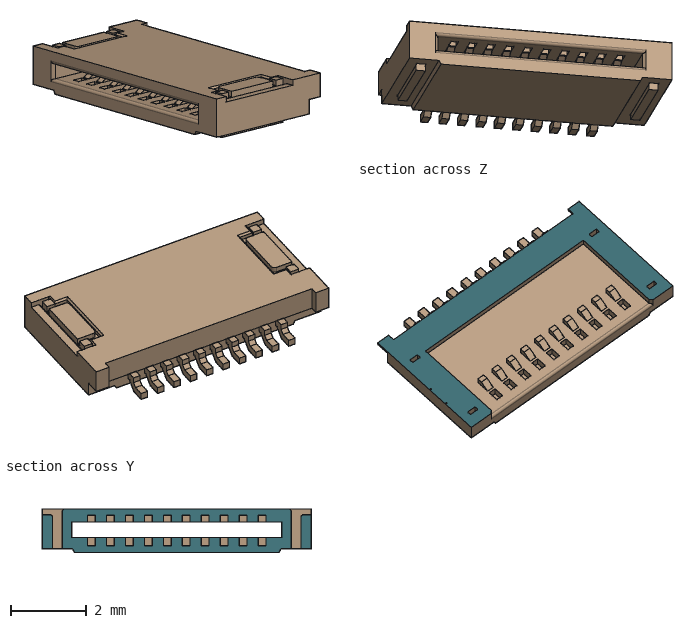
import cadquery as cq


width = 7.1
height = 1.2
body_bottom = 0.15
ear_length = 3.75
ear_width = 0.4
rear_wall = 3.55
lower_rear_wall = 3.35
overhang_bottom = 0.55

pad_bottom = 0.05
pad_half_width = 2.755
pad_taper = 0.06

cavity_half_width = 2.77
cavity_bottom = 0.45
cavity_top = 0.85
cavity_end = 2.7
mouth_round = 0.08
mouth_side_taper = 0.08

contact_count = 10
contact_row_length = 4.5
contact_pitch = contact_row_length / (contact_count - 1)
contact_width = 0.2
slot_start = 0.34
slot_bottom = 0.235
slot_top = 1.03
arm_start = 0.64
bump_start = 0.71
bump_slope_length = 0.25
bump_flat = 0.14
web_rear = 2.98
lower_bump_top = 0.595
upper_bump_bottom = 0.74

tail_tip = 4.05
tail_thickness = 0.2
tail_shoulder = 3.43
tail_bend = 3.65
tail_top = 0.455
bend_rise = 0.1

pocket_center = 1.55
ledge_drop = 0.15
pocket_bevel = 0.05
slit_length = 2.4
slit_outer_x = 3.27
slit_width = 0.25
pocket_length = 1.8
pocket_inner_x = 2.64
fitting_length = 2.2
post_length = 0.25
plate_length = 1.49
plate_inner_x = 2.7
plate_corner_radius = 0.1

slit_inner_x = slit_outer_x - slit_width
pocket_floor = height - ledge_drop


def block(x_range, y_range, z_range):
    """Box spanning the given pairs of coordinates."""
    (x0, x1), (y0, y1), (z0, z1) = x_range, y_range, z_range
    return cq.Workplane("XY").box(x1 - x0, y1 - y0, z1 - z0, centered=False).translate((x0, y0, z0))


def both_ends(shape):
    """The shape together with its mirror image across the YZ plane."""
    return shape.union(shape.mirror("YZ"))


def span(length):
    """Y range of the given length about the pocket centre."""
    return (pocket_center - length / 2, pocket_center + length / 2)


def make_housing():
    """Solid body with a roof overhanging the tails, two rear ears and the raised bottom pad."""
    half = width / 2
    body = block((-half, half), (0, lower_rear_wall), (body_bottom, height))
    roof = block((-half, half), (0, rear_wall), (overhang_bottom, height))
    ear = block((-half, ear_width - half), (0, ear_length), (overhang_bottom, height))
    pad_tip = pad_half_width - pad_taper
    pad = (
        cq.Workplane("XZ")
        .polyline([
            (-pad_half_width, body_bottom),
            (-pad_tip, pad_bottom),
            (pad_tip, pad_bottom),
            (pad_half_width, body_bottom),
        ])
        .close()
        .extrude(-lower_rear_wall)
    )
    return body.union(roof).union(both_ends(ear)).union(pad)


def make_cavity():
    """Cable space with rounded upper and lower lips and tapered sides at the mouth."""
    outer_half = cavity_half_width + mouth_side_taper
    lower_lip = cavity_bottom - mouth_round
    upper_lip = cavity_top + mouth_round
    flared = (
        cq.Workplane("YZ")
        .moveTo(0, lower_lip)
        .radiusArc((mouth_round, cavity_bottom), mouth_round)
        .lineTo(cavity_end, cavity_bottom)
        .lineTo(cavity_end, cavity_top)
        .lineTo(mouth_round, cavity_top)
        .radiusArc((0, upper_lip), mouth_round)
        .close()
        .extrude(outer_half, both=True)
    )
    plan = (
        cq.Workplane("XY")
        .polyline([
            (-outer_half, 0),
            (outer_half, 0),
            (cavity_half_width, mouth_side_taper),
            (cavity_half_width, cavity_end),
            (-cavity_half_width, cavity_end),
            (-cavity_half_width, mouth_side_taper),
        ])
        .close()
        .extrude(height)
    )
    return flared.intersect(plan)


def bevelled_recess(x_range, y_range, bevel_top):
    """Tapered block whose walls lean out at 45 degrees up to the bevel top."""
    (x0, x1), (y0, y1) = x_range, y_range
    return (
        cq.Workplane("XY", origin=((x0 + x1) / 2, (y0 + y1) / 2, bevel_top))
        .rect(x1 - x0 + 2 * pocket_bevel, y1 - y0 + 2 * pocket_bevel)
        .workplane(offset=-pocket_bevel)
        .rect(x1 - x0, y1 - y0)
        .loft(ruled=True)
    )


def make_pocket():
    """Stepped opening at the -X end: ledge, wide and narrow recesses, and the slit for the fitting."""
    slit_x = (-slit_outer_x, -slit_inner_x)
    wide_x = (-slit_outer_x, -pocket_inner_x)
    slit = block(slit_x, span(slit_length), (0, height))
    wide = block(wide_x, span(pocket_length), (pocket_floor, height))
    ledge = block((-width / 2, -slit_inner_x), span(slit_length), (pocket_floor, height))
    bevels = (
        bevelled_recess(slit_x, span(slit_length), height)
        .union(bevelled_recess(wide_x, span(pocket_length), height))
        .union(bevelled_recess(slit_x, span(slit_length), pocket_floor))
    )
    top_band = block((-width / 2, 0), span(slit_length), (height - pocket_bevel, height))
    ledge_band = block(
        (-width / 2, -slit_inner_x), span(slit_length), (pocket_floor - pocket_bevel, pocket_floor)
    )
    return slit.union(wide).union(ledge).union(bevels.intersect(top_band.union(ledge_band)))


def make_fitting():
    """Hold-down fitting at the -X end: upright web with two posts, and a flat plate between them."""
    slit_x = (-slit_outer_x, -slit_inner_x)
    y0, y1 = span(fitting_length)
    web = block(slit_x, (y0, y1), (0, pocket_floor))
    front_post = block(slit_x, (y0, y0 + post_length), (pocket_floor, height))
    rear_post = block(slit_x, (y1 - post_length, y1), (pocket_floor, height))
    plate = (
        block((-slit_outer_x, -plate_inner_x), span(plate_length), (pocket_floor, height))
        .edges("|Z and >X")
        .fillet(plate_corner_radius)
    )
    return web.union(front_post).union(rear_post).union(plate)


def make_contact():
    """Forked contact with one bump on each arm, ending in a bent solder tail."""
    bump_peak = bump_start + bump_slope_length
    bump_end = bump_peak + bump_flat
    return (
        cq.Workplane("YZ")
        .polyline([
            (arm_start, slot_bottom),
            (tail_shoulder, slot_bottom),
            (tail_shoulder + slot_bottom, 0),
            (tail_tip, 0),
            (tail_tip, tail_thickness),
            (tail_bend + bend_rise, tail_thickness),
            (tail_bend, tail_thickness + bend_rise),
            (tail_bend, tail_top),
            (tail_shoulder, tail_top),
            (tail_shoulder, overhang_bottom),
            (web_rear, overhang_bottom),
            (web_rear, slot_top),
            (arm_start, slot_top),
            (arm_start, cavity_top),
            (bump_start, cavity_top),
            (bump_peak, upper_bump_bottom),
            (bump_end, upper_bump_bottom),
            (bump_end, cavity_top),
            (cavity_end, cavity_top),
            (cavity_end, cavity_bottom),
            (bump_end, cavity_bottom),
            (bump_end, lower_bump_top),
            (bump_peak, lower_bump_top),
            (bump_start, cavity_bottom),
            (arm_start, cavity_bottom),
        ])
        .close()
        .extrude(contact_width / 2, both=True)
    )


contact_slot = block(
    (-contact_width / 2, contact_width / 2), (slot_start, cavity_end), (slot_bottom, slot_top)
)
contact = make_contact()

result = make_housing().cut(make_cavity())
result = result.cut(both_ends(make_pocket())).union(both_ends(make_fitting()))
for index in range(contact_count):
    x = (index - (contact_count - 1) / 2) * contact_pitch
    result = result.cut(contact_slot.translate((x, 0, 0))).union(contact.translate((x, 0, 0)))